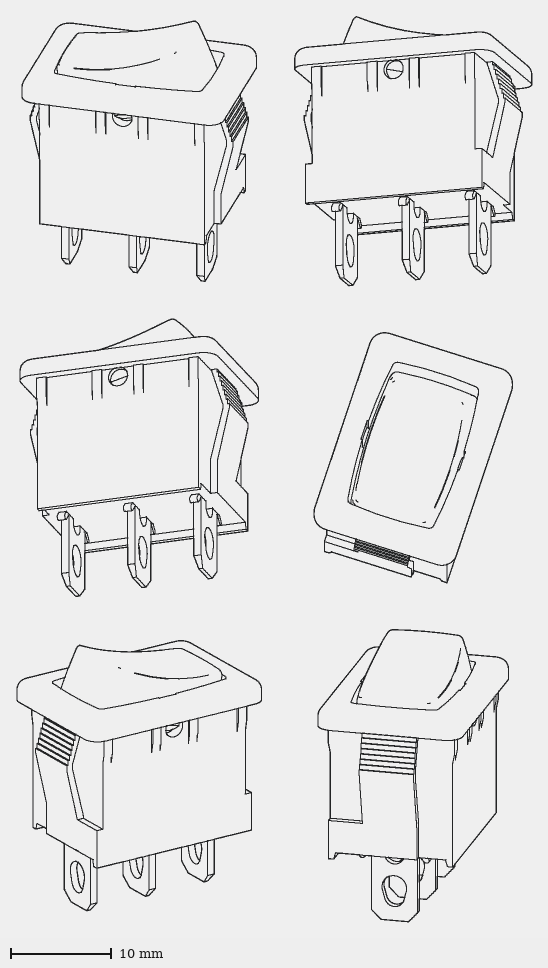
import cadquery as cq
import math

flange_length = 20.78
flange_width = 14.8
flange_height = 2.08
flange_corner_radius = 1.55
flange_edge_radius = 1.03

body_half_length = 8.5
body_half_width = 6.29
floor_z = -13.23
skirt_z = -13.9
skirt_half_gap_top = 5.55
skirt_half_gap_bottom = 5.73

rib_width = 1.0
rib_half_width = 6.5
rib_straight_z = -1.95
rib_end_z = -3.0
rib_centers = [-8.0, -2.18, 2.18, 8.0]

arm_half_width = 2.8
arm_reach = 10.47
arm_thickness = 0.68
arm_top_inner = 8.57
arm_root_inner_z = -9.6
step_count = 8
step_rise = 0.16
step_height = 0.505
first_step_z = -0.32
foot_half_length = 9.2
foot_top_z = -9.9

opening_half_length = 7.85
opening_half_width = 5.0
opening_end_bulge = 0.25
opening_side_bulge = 0.58
opening_corner_radius = 0.53
cavity_floor_z = -5.25
notch_half_width = 5.13

pivot_z = -0.9
pivot_diameter = 2.0
pivot_half_length = 5.65
pivot_ramp_angle = 45.0

tilt = 14.0
rocker_tip_height = 5.35
rocker_depth = 2.1
rocker_tip_half_length = 6.7
rocker_tip_half_width = 4.18
rocker_flank_height = 1.58
rocker_bottom_half_width = 4.9
rocker_end_bulge = 0.25
rocker_side_bulge = 0.45
rocker_end_draft = 5.7
rocker_side_draft = 8.5
rocker_corner_radius = 0.65
rocker_dish_depth = 0.9
rocker_edge_radius = 0.05

terminal_spacing = 6.97
terminal_thickness = 0.8
terminal_half_width = 2.37
terminal_top_z = -11.57
terminal_tip_z = -20.55
tip_chamfer = 0.95
tip_height = 1.05
tip_thickness = 0.42
eye_top_radius = 1.25
eye_top_z = -17.02
eye_bottom_radius = 1.0
eye_bottom_z = -18.0
slot_radius = 1.0
slot_center_z = -13.52
barb_width = 0.58
barb_end_y = 3.3
barb_end_z = -13.85
barb_length = 1.85
barb_angle = 45.0


def box(x0, x1, y0, y1, z0, z1):
    """Axis-aligned block between two opposite corners."""
    return cq.Workplane("XY").box(x1 - x0, y1 - y0, z1 - z0, centered=False).translate((x0, y0, z0))


def bulged_outline(workplane, half_length, half_width, end_bulge, side_bulge):
    """Rectangle whose four sides bow outward as arcs; half sizes are measured at mid-side."""
    corner_x = half_length - end_bulge
    corner_y = half_width - side_bulge
    return (
        workplane.moveTo(-corner_x, -corner_y)
        .threePointArc((0, -half_width), (corner_x, -corner_y))
        .threePointArc((half_length, 0), (corner_x, corner_y))
        .threePointArc((0, half_width), (-corner_x, corner_y))
        .threePointArc((-half_length, 0), (-corner_x, -corner_y))
        .close()
    )


def make_flange():
    slab = cq.Workplane("XY").box(flange_length, flange_width, flange_height, centered=(True, True, False))
    return slab.edges("|Z").fillet(flange_corner_radius).faces(">Z").edges().fillet(flange_edge_radius)


def make_channel(x0, x1):
    """Body cross-section with its two side skirts, drawn in YZ and extruded from x0 to x1."""
    profile = [
        (-body_half_width, 0),
        (-body_half_width, skirt_z),
        (-skirt_half_gap_bottom, skirt_z),
        (-skirt_half_gap_top, floor_z),
        (skirt_half_gap_top, floor_z),
        (skirt_half_gap_bottom, skirt_z),
        (body_half_width, skirt_z),
        (body_half_width, 0),
    ]
    return cq.Workplane("YZ", origin=(x0, 0, 0)).polyline(profile).close().extrude(x1 - x0)


def make_rib_pair(center_x):
    """Two ribs with sloped lower ends, one on each long side of the body."""
    profile = [
        (-rib_half_width, 0),
        (-rib_half_width, rib_straight_z),
        (-body_half_width, rib_end_z),
        (body_half_width, rib_end_z),
        (rib_half_width, rib_straight_z),
        (rib_half_width, 0),
    ]
    start = cq.Workplane("YZ", origin=(center_x - rib_width / 2, 0, 0))
    return start.polyline(profile).close().extrude(rib_width)


def make_snap_arm():
    """Stepped, bent arm on the +X end together with the foot it springs from."""
    points = [(arm_top_inner, 0), (arm_reach - step_count * step_rise, 0)]
    for step in range(step_count):
        ledge_z = first_step_z - step * step_height
        ledge_x = arm_reach - (step_count - step) * step_rise
        points += [(ledge_x, ledge_z), (ledge_x + step_rise, ledge_z)]
    knee_top_z = first_step_z - (step_count - 1) * step_height
    knee_bottom_z = knee_top_z - step_height
    points += [
        (arm_reach, knee_bottom_z),
        (foot_half_length, foot_top_z),
        (body_half_length, foot_top_z),
        (body_half_length, arm_root_inner_z),
        (arm_reach - arm_thickness, knee_bottom_z),
        (arm_reach - arm_thickness, knee_top_z),
    ]
    arm = cq.Workplane("XZ").polyline(points).close().extrude(arm_half_width, both=True)
    foot_zone = box(0, foot_half_length, -arm_half_width, body_half_width, skirt_z, foot_top_z)
    foot = make_channel(0, foot_half_length).intersect(foot_zone)
    return arm.union(foot)


def make_rocker_cavity():
    """Bowed opening through the flange, pivot bore and the notches that let the pivot in."""
    start = cq.Workplane("XY", origin=(0, 0, cavity_floor_z))
    cavity = bulged_outline(
        start, opening_half_length, opening_half_width, opening_end_bulge, opening_side_bulge
    ).extrude(flange_height - cavity_floor_z)
    cavity = cavity.edges("|Z").fillet(opening_corner_radius)
    bore = (
        cq.Workplane("XZ", origin=(0, 0, pivot_z)).circle(pivot_diameter / 2).extrude(body_half_width, both=True)
    )
    notch_half_length = pivot_diameter / 2
    notch = box(
        -notch_half_length, notch_half_length, -notch_half_width, notch_half_width, pivot_z, flange_height
    )
    return cavity.union(bore).union(notch)


def make_housing(terminals):
    housing = make_flange().union(make_channel(-body_half_length, body_half_length))
    for center_x in rib_centers:
        housing = housing.union(make_rib_pair(center_x))
    snap_arm = make_snap_arm()
    housing = housing.union(snap_arm).union(snap_arm.mirror("YZ"))
    housing = housing.cut(make_rocker_cavity())
    for terminal in terminals:
        housing = housing.cut(terminal)
    return housing


def make_rocker_cap():
    """Drafted, bowed block with slightly convex sides and a dished top, standing level on the pivot axis."""
    end_draft = math.tan(math.radians(rocker_end_draft))
    side_draft = math.tan(math.radians(rocker_side_draft))
    sections = [
        (-rocker_depth, rocker_bottom_half_width),
        (rocker_flank_height, rocker_tip_half_width + (rocker_tip_height - rocker_flank_height) * side_draft),
        (rocker_tip_height, rocker_tip_half_width),
    ]
    outlines = []
    for height, half_width in sections:
        half_length = rocker_tip_half_length + (rocker_tip_height - height) * end_draft
        plane = cq.Workplane("XY", origin=(0, 0, height))
        outline = bulged_outline(plane, half_length, half_width, rocker_end_bulge, rocker_side_bulge)
        outlines.append(outline.val())
    cap = cq.Workplane(cq.Solid.makeLoft(outlines))
    cap = cap.edges("not #Z").fillet(rocker_corner_radius)
    dish_radius = (rocker_tip_half_length**2 + rocker_dish_depth**2) / (2 * rocker_dish_depth)
    dish_center_z = rocker_tip_height - rocker_dish_depth + dish_radius
    dish = (
        cq.Workplane("XZ", origin=(0, 0, dish_center_z)).circle(dish_radius)
        .extrude(opening_half_width, both=True)
    )
    return cap.cut(dish).faces("%CYLINDER").edges().fillet(rocker_edge_radius)


def make_pivot():
    """Shaft across the rocker whose two ends ramp inward below the axis."""
    radius = pivot_diameter / 2
    shaft = cq.Workplane("XZ").circle(radius).extrude(pivot_half_length, both=True)
    ramp_inset = radius * math.tan(math.radians(pivot_ramp_angle))
    profile = [
        (-pivot_half_length, radius),
        (-pivot_half_length, 0),
        (-pivot_half_length + ramp_inset, -radius),
        (pivot_half_length - ramp_inset, -radius),
        (pivot_half_length, 0),
        (pivot_half_length, radius),
    ]
    envelope = cq.Workplane("YZ").polyline(profile).close().extrude(radius, both=True)
    return shaft.intersect(envelope)


def make_rocker():
    rocker = make_rocker_cap().union(make_pivot())
    return rocker.rotate((0, 0, 0), (0, 1, 0), -tilt).translate((0, 0, pivot_z))


def make_eye():
    """Pear-shaped eye: two circles joined by their common tangents."""
    lean = math.asin((eye_top_radius - eye_bottom_radius) / (eye_top_z - eye_bottom_z))
    top_y = eye_top_radius * math.cos(lean)
    top_z = eye_top_z - eye_top_radius * math.sin(lean)
    bottom_y = eye_bottom_radius * math.cos(lean)
    bottom_z = eye_bottom_z - eye_bottom_radius * math.sin(lean)
    return (
        cq.Workplane("YZ").moveTo(-top_y, top_z)
        .threePointArc((0, eye_top_z + eye_top_radius), (top_y, top_z))
        .lineTo(bottom_y, bottom_z)
        .threePointArc((0, eye_bottom_z - eye_bottom_radius), (-bottom_y, bottom_z))
        .close().extrude(terminal_thickness, both=True)
    )


def make_barb():
    """Round-ended barb leaning out and down from the +Y edge."""
    radius = barb_width / 2
    bar = (
        cq.Workplane("YZ").moveTo(0, -radius).lineTo(barb_length, -radius)
        .threePointArc((barb_length + radius, 0), (barb_length, radius))
        .lineTo(0, radius).close().extrude(terminal_thickness / 2, both=True)
    )
    root_y = barb_end_y - barb_length * math.cos(math.radians(barb_angle))
    root_z = barb_end_z + barb_length * math.sin(math.radians(barb_angle))
    return bar.rotate((0, 0, 0), (1, 0, 0), -barb_angle).translate((0, root_y, root_z))


def make_terminal(center_x):
    shoulder_z = terminal_tip_z + tip_height
    blade_outline = [
        (-terminal_half_width, terminal_top_z),
        (-terminal_half_width, shoulder_z),
        (-terminal_half_width + tip_chamfer, terminal_tip_z),
        (terminal_half_width - tip_chamfer, terminal_tip_z),
        (terminal_half_width, shoulder_z),
        (terminal_half_width, terminal_top_z),
    ]
    blade = cq.Workplane("YZ").polyline(blade_outline).close().extrude(terminal_thickness / 2, both=True)
    tapered_outline = [
        (-terminal_thickness / 2, terminal_top_z),
        (-terminal_thickness / 2, shoulder_z),
        (-tip_thickness / 2, terminal_tip_z),
        (tip_thickness / 2, terminal_tip_z),
        (terminal_thickness / 2, shoulder_z),
        (terminal_thickness / 2, terminal_top_z),
    ]
    taper = cq.Workplane("XZ").polyline(tapered_outline).close().extrude(terminal_half_width, both=True)
    barb = make_barb()
    terminal = blade.intersect(taper).union(barb).union(barb.mirror("XZ"))
    slot_end = (
        cq.Workplane("YZ").center(0, slot_center_z).circle(slot_radius).extrude(terminal_thickness, both=True)
    )
    slot = slot_end.union(
        box(-terminal_thickness, terminal_thickness, -slot_radius, slot_radius, slot_center_z, terminal_top_z)
    )
    return terminal.cut(slot).cut(make_eye()).translate((center_x, 0, 0))


terminals = [make_terminal(place * terminal_spacing) for place in (-1, 0, 1)]
rocker = make_rocker()
housing = make_housing(terminals)

result = cq.Compound.makeCompound([
    housing.val(),
    rocker.val(),
    *[terminal.val() for terminal in terminals],
])